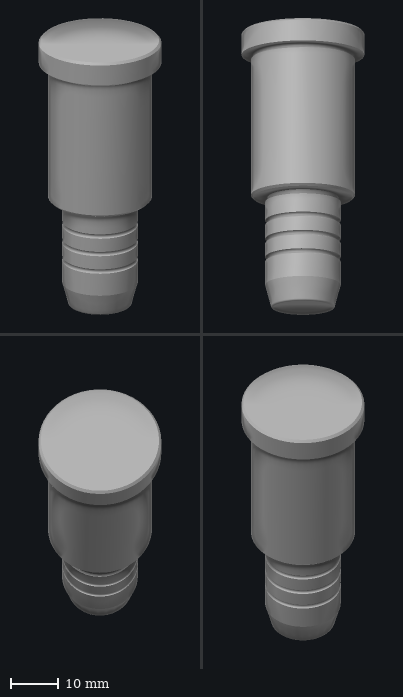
import cadquery as cq
import math

total_height = 60.0
head_diameter = 26.0
head_height = 5.0
body_diameter = 22.0
body_bottom = 24.0
shank_diameter = 16.0
neck_diameter = 15.0
neck_height = 1.0

tip_height = 5.0
tip_angle = 15.0

edge_size = 0.5
groove_radius = 0.5
lowest_groove = 10.5
highest_groove = 18.5
shank_groove_count = 3

head_bottom = total_height - head_height
shank_top = body_bottom - neck_height
tip_diameter = shank_diameter - 2 * tip_height * math.tan(math.radians(tip_angle))


def cylinder(diameter, bottom, top):
    """Solid cylinder on the Z axis between two heights."""
    return cq.Workplane("XY").workplane(offset=bottom).circle(diameter / 2).extrude(top - bottom)


def ring_cutter(diameter, height):
    """Torus centred on a cylinder's surface, leaving a half-round groove."""
    return (
        cq.Workplane("XZ")
        .center(diameter / 2, height)
        .circle(groove_radius)
        .revolve(360, (-diameter / 2, 0), (-diameter / 2, 1))
    )


head = cylinder(head_diameter, head_bottom, total_height).faces(">Z").edges().chamfer(edge_size)
body = cylinder(body_diameter, body_bottom, head_bottom).faces("<Z").edges().chamfer(edge_size)
neck = cylinder(neck_diameter, shank_top, body_bottom)
shank = cylinder(shank_diameter, tip_height, shank_top)

tip = (
    cq.Workplane("XY")
    .circle(tip_diameter / 2)
    .workplane(offset=tip_height)
    .circle(shank_diameter / 2)
    .loft(ruled=True)
    .faces("<Z")
    .edges()
    .fillet(edge_size)
)

result = head.union(body).union(neck).union(shank).union(tip)

undercut = ring_cutter(body_diameter, head_bottom - groove_radius)
result = result.cut(undercut)

groove_pitch = (highest_groove - lowest_groove) / (shank_groove_count - 1)
for index in range(shank_groove_count):
    result = result.cut(ring_cutter(shank_diameter, lowest_groove + index * groove_pitch))